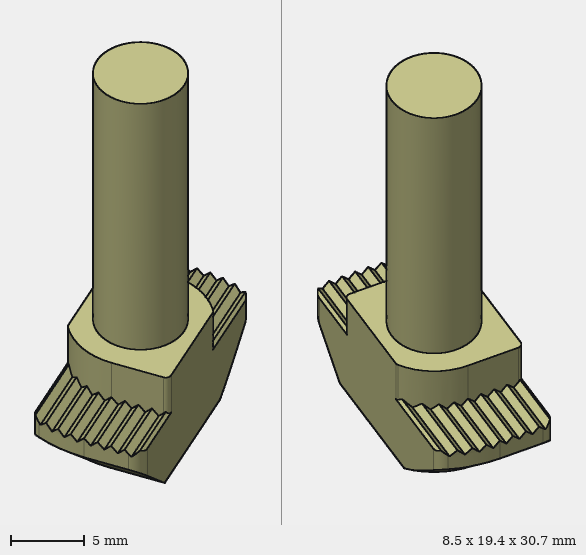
import cadquery as cq
import math

width = 8.5
head_length = 19.4
total_height = 30.7
shank_diameter = 6.48

neck_length = 10.0
neck_top = 8.75
neck_corner_radius = 0.4
head_corner_radius = 0.98
taper_height = 4.0

tooth_crest = 5.68
tooth_pitch = width / 8.5
tooth_root = tooth_crest - tooth_pitch / 2
outer_teeth = 4

half_width = width / 2
head_radius = head_length / 2
base_radius = head_radius - taper_height


def rounded_block(length, height, corner_radius):
    """Block with two opposite corners swept by arcs about the bolt axis, so it can twist in a slot."""
    radius = length / 2
    arc_end = math.sqrt(radius**2 - half_width**2)
    arc_middle = radius * math.sin(math.asin(half_width / radius) / 2)
    arc_middle_y = math.sqrt(radius**2 - arc_middle**2)
    block = (
        cq.Workplane("XY")
        .moveTo(-half_width, radius)
        .lineTo(0, radius)
        .threePointArc((arc_middle, arc_middle_y), (half_width, arc_end))
        .lineTo(half_width, -radius)
        .lineTo(0, -radius)
        .threePointArc((-arc_middle, -arc_middle_y), (-half_width, -arc_end))
        .close()
        .extrude(height)
    )
    return block.edges("|Z").edges("<X or >X").fillet(corner_radius)


def taper_envelope():
    """Conical taper under the arc corners and flat taper under the square corners."""
    taper_profile = [
        (0, 0),
        (base_radius, 0),
        (head_radius, taper_height),
        (head_radius, tooth_crest),
        (0, tooth_crest),
    ]
    envelope = cq.Workplane("XZ").polyline(taper_profile).close().revolve(360, (0, 0, 0), (0, 1, 0))
    wedge = cq.Workplane("YZ").polyline(taper_profile).close().extrude(-half_width)
    return envelope.union(wedge).union(wedge.rotate((0, 0, 0), (0, 0, 1), 180))


def serrated_envelope():
    """Prism along Y whose top is the row of serrations."""
    half_pitch = tooth_pitch / 2
    last_root = (outer_teeth + 0.5) * tooth_pitch
    top_points = [(-last_root, tooth_root)]
    for tooth in range(-outer_teeth, outer_teeth + 1):
        crest_x = tooth * tooth_pitch
        top_points.append((crest_x, tooth_crest))
        top_points.append((crest_x + half_pitch, tooth_root))
    outline = [(-last_root, 0)] + top_points + [(last_root, 0)]
    return cq.Workplane("XZ").polyline(outline).close().extrude(head_radius, both=True)


head = (
    rounded_block(head_length, tooth_crest, head_corner_radius)
    .intersect(taper_envelope())
    .intersect(serrated_envelope())
)

neck = rounded_block(neck_length, neck_top - taper_height, neck_corner_radius).translate((0, 0, taper_height))

shank = (
    cq.Workplane("XY")
    .workplane(offset=neck_top)
    .circle(shank_diameter / 2)
    .extrude(total_height - neck_top)
)

result = head.union(neck).union(shank)